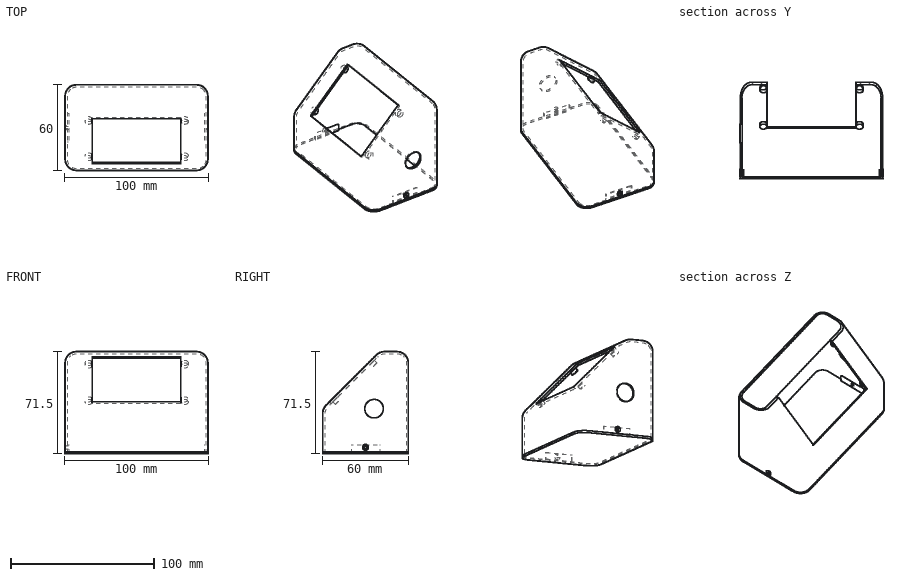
import cadquery as cq
import math

LENGTH = 100
DEPTH = 60
WALL = 1.5
LID_THICKNESS = 1.5
FRONT_HEIGHT = 30
REAR_HEIGHT = 70
TOP_DEPTH = 20
EDGE_RADIUS = 8

WINDOW_LENGTH = 62.2
WINDOW_WIDTH = 44.4
WINDOW_SHIFT = 0.7
BOSS_DIAMETER = 5
BOSS_HEIGHT = 2.5
BOSS_SPACING_ALONG_SLOPE = 36
BOSS_SPACING_X = WINDOW_LENGTH + BOSS_DIAMETER

PORT_DIAMETER = 13
PORT_Y = 6
PORT_Z = 31.5

TAB_WIDTH = 20
TAB_THICKNESS = 1
TAB_CLEARANCE = 0.2
TAB_HEIGHT = 4.8
TAB_EDGE_RADIUS = 0.5
SCREW_HEIGHT_ABOVE_LID = 3
SCREW_Z = LID_THICKNESS + SCREW_HEIGHT_ABOVE_LID
SCREW_HOLE_DIAMETER = 2
SCREW_HEAD_DIAMETER = 4

SLOPE_RUN = DEPTH - TOP_DEPTH
SLOPE_RISE = REAR_HEIGHT - FRONT_HEIGHT
SLOPE_LENGTH = math.hypot(SLOPE_RUN, SLOPE_RISE)
SLOPE_PLANE = cq.Plane(
    origin=(0, -DEPTH / 2 + SLOPE_RUN / 2, LID_THICKNESS + FRONT_HEIGHT + SLOPE_RISE / 2),
    xDir=(1, 0, 0),
    normal=(0, -SLOPE_RISE / SLOPE_LENGTH, SLOPE_RUN / SLOPE_LENGTH),
)
INNER_X = LENGTH / 2 - WALL


def wedge():
    """Solid outer form of the housing: a sloped profile with all edges rounded except the bottom ones."""
    front = -DEPTH / 2
    rear = DEPTH / 2
    top = LID_THICKNESS + REAR_HEIGHT
    profile = [
        (front, LID_THICKNESS),
        (rear, LID_THICKNESS),
        (rear, top),
        (rear - TOP_DEPTH, top),
        (front, LID_THICKNESS + FRONT_HEIGHT),
    ]
    block = cq.Workplane("YZ").polyline(profile).close().extrude(LENGTH / 2, both=True)
    return block.edges("not <Z").fillet(EDGE_RADIUS)


def bosses():
    """Four display bosses, standing on the inner side of the sloping wall."""
    return (
        cq.Workplane(SLOPE_PLANE)
        .workplane(offset=-WALL - BOSS_HEIGHT)
        .center(0, WINDOW_SHIFT)
        .rarray(BOSS_SPACING_X, BOSS_SPACING_ALONG_SLOPE, 2, 2)
        .circle(BOSS_DIAMETER / 2)
        .extrude(BOSS_HEIGHT)
    )


def window():
    """Rectangular cutter through the sloping wall."""
    return (
        cq.Workplane(SLOPE_PLANE)
        .center(0, WINDOW_SHIFT)
        .rect(WINDOW_LENGTH, WINDOW_WIDTH)
        .extrude(-WALL)
    )


def port():
    """Round cutter through the +X wall."""
    return (
        cq.Workplane("YZ", origin=(INNER_X, 0, 0))
        .center(PORT_Y, PORT_Z)
        .circle(PORT_DIAMETER / 2)
        .extrude(WALL)
    )


def screw_hole(side):
    """Cutter for a countersunk screw hole through the end wall on one side (-1 or +1)."""
    outer_face = cq.Plane(origin=(side * LENGTH / 2, 0, SCREW_Z), xDir=(0, 1, 0), normal=(-side, 0, 0))
    countersink_depth = (SCREW_HEAD_DIAMETER - SCREW_HOLE_DIAMETER) / 2
    countersink = cq.Solid.makeCone(
        SCREW_HEAD_DIAMETER / 2,
        SCREW_HOLE_DIAMETER / 2,
        countersink_depth,
        pnt=outer_face.origin,
        dir=outer_face.zDir,
    )
    return cq.Workplane(outer_face).circle(SCREW_HOLE_DIAMETER / 2).extrude(WALL).union(countersink)


def build_housing():
    """Thin-walled sloping cover, open at the bottom."""
    body = wedge().faces("<Z").shell(-WALL)
    body = body.union(bosses()).cut(window()).cut(port())
    for side in (-1, 1):
        body = body.cut(screw_hole(side))
    return body


def tab(side):
    """Upright lid tab beside one end wall (-1 or +1), with a screw hole and a rounded inner top edge."""
    offset = side * (INNER_X - TAB_CLEARANCE - TAB_THICKNESS / 2)
    inner_top_edge = ">Z and <X" if side > 0 else ">Z and >X"
    blank = (
        cq.Workplane("XY", origin=(offset, 0, LID_THICKNESS))
        .box(TAB_THICKNESS, TAB_WIDTH, TAB_HEIGHT, centered=(True, True, False))
        .edges(inner_top_edge)
        .fillet(TAB_EDGE_RADIUS)
    )
    hole = (
        cq.Workplane("YZ", origin=(offset, 0, SCREW_Z))
        .circle(SCREW_HOLE_DIAMETER / 2)
        .extrude(TAB_THICKNESS, both=True)
    )
    return blank.cut(hole)


def build_lid():
    """Flat bottom lid with a screw tab at each end."""
    lid = (
        cq.Workplane("XY")
        .rect(LENGTH, DEPTH)
        .extrude(LID_THICKNESS)
        .edges("|Z")
        .fillet(EDGE_RADIUS)
    )
    for side in (-1, 1):
        lid = lid.union(tab(side))
    return lid


housing = build_housing()
lid = build_lid()
result = cq.Compound.makeCompound([housing.solids().val(), lid.solids().val()])